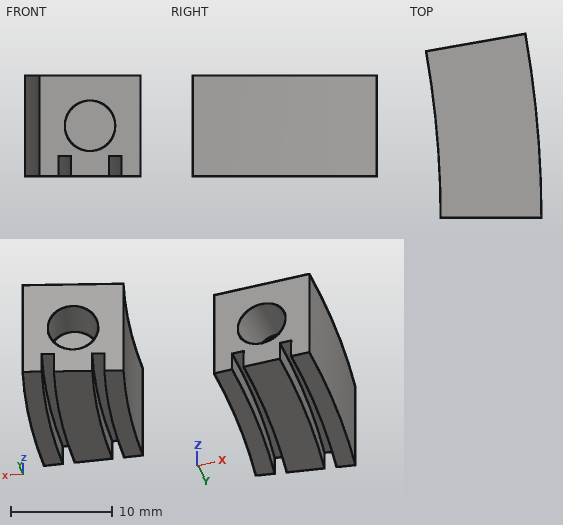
import cadquery as cq

center_radius = 100.0
sweep_angle = 10.0
section_size = 10.0

hole_diameter = 5.0
hole_depth = 5.0

slot_width = 1.2
slot_depth = 2.0
slot_offset = hole_diameter / 2


def turned_bar(radius, center_z, width, height):
    """Rectangular section turned about the Z axis through the sweep angle."""
    section = cq.Workplane("XZ").moveTo(radius, center_z).rect(width, height)
    return section.revolve(sweep_angle, (0, 0, 0), (0, 1, 0))


def curved_block():
    return turned_bar(center_radius, 0, section_size, section_size)


def bottom_slot(side):
    """Slot on the inner (side -1) or outer (side +1) half of the underside."""
    slot_center_z = (slot_depth - section_size) / 2
    return turned_bar(center_radius + side * slot_offset, slot_center_z, slot_width, slot_depth)


def start_hole():
    """Hole running in the +Y direction from the end face in the XZ plane."""
    return cq.Workplane("XZ").moveTo(center_radius, 0).circle(hole_diameter / 2).extrude(-hole_depth)


def far_hole():
    """Mirror image of the start hole, turned to enter square to the far end face."""
    return start_hole().mirror("XZ").rotate((0, 0, 0), (0, 0, 1), sweep_angle)


result = curved_block().cut(start_hole()).cut(far_hole())
for side in (-1, 1):
    result = result.cut(bottom_slot(side))